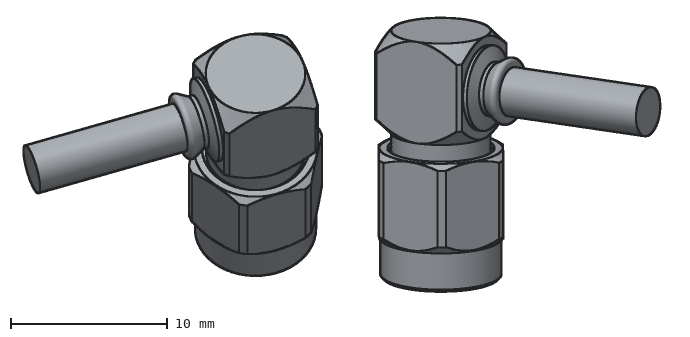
import cadquery as cq
import math


nut_bottom = 2.59
nut_top = 8.53
block_bottom = 9.57
block_top = 16.28
cable_height = (block_bottom + block_top) / 2

sleeve_radius = 3.88
sleeve_chamfer = 0.2

nut_across_flats = 7.95
nut_corner_radius = 4.43
nut_top_face_radius = 3.95
nut_top_bevel_height = 0.33
nut_recess_radius = 3.41
nut_recess_depth = 0.3

block_width = 6.35
block_corner_radius = 4.32
neck_radius = block_width / 2
block_bevel_height = block_corner_radius - neck_radius

flange_radius = 2.77
flange_rim_length = 0.27
flange_length = 0.6
waist_radius = 1.77
waist_end = 0.92
ferrule_length = 2.0
bead_radius = 0.27
bead_center_radius = 1.9

cable_radius = 1.59
total_length = 19.62
cable_length = total_length - nut_corner_radius - block_width / 2


def turned_envelope(bottom, top, bottom_radius, top_radius, radius, bottom_bevel, top_bevel):
    """Cylinder about Z with a conical bevel at each end."""
    profile = (
        cq.Workplane("XZ")
        .moveTo(0, bottom)
        .lineTo(bottom_radius, bottom)
        .lineTo(radius, bottom + bottom_bevel)
        .lineTo(radius, top - top_bevel)
        .lineTo(top_radius, top)
        .lineTo(0, top)
        .close()
    )
    return profile.revolve(360, (0, 0, 0), (0, 1, 0))


def make_sleeve():
    sleeve = cq.Workplane("XY").circle(sleeve_radius).extrude(nut_bottom)
    return sleeve.faces("<Z").chamfer(sleeve_chamfer)


def make_nut():
    """Hexagon with flats facing +X and -X, turned corners and a recess around the neck."""
    across_corners = nut_across_flats / math.cos(math.pi / 6)
    hexagon = (
        cq.Workplane("XY", origin=(0, 0, nut_bottom))
        .transformed(rotate=(0, 0, 90))
        .polygon(6, across_corners)
        .extrude(nut_top - nut_bottom)
    )
    envelope = turned_envelope(
        nut_bottom,
        nut_top,
        sleeve_radius,
        nut_top_face_radius,
        nut_corner_radius,
        nut_corner_radius - sleeve_radius,
        nut_top_bevel_height,
    )
    recess = (
        cq.Workplane("XY", origin=(0, 0, nut_top - nut_recess_depth))
        .circle(nut_recess_radius)
        .extrude(nut_recess_depth)
    )
    return hexagon.intersect(envelope).cut(recess)


def make_neck():
    """Round neck running from inside the nut up to the block."""
    neck_bottom = nut_top - nut_recess_depth
    neck = cq.Workplane("XY", origin=(0, 0, neck_bottom)).circle(neck_radius)
    return neck.extrude(block_bottom - neck_bottom)


def make_block():
    square = (
        cq.Workplane("XY", origin=(0, 0, block_bottom))
        .rect(block_width, block_width)
        .extrude(block_top - block_bottom)
    )
    envelope = turned_envelope(
        block_bottom,
        block_top,
        neck_radius,
        neck_radius,
        block_corner_radius,
        block_bevel_height,
        block_bevel_height,
    )
    return square.intersect(envelope)


def make_ferrule_and_cable():
    """Turned profile about the cable axis: flange, waist, flare with rounded bead, then cable."""
    bead_center = ferrule_length - bead_radius

    run = bead_center - waist_end
    rise = bead_center_radius - waist_radius
    flare_angle = math.atan2(rise, run) + math.asin(bead_radius / math.hypot(run, rise))

    def bead_point(angle):
        return (
            bead_center_radius + bead_radius * math.cos(angle),
            bead_center + bead_radius * math.sin(angle),
        )

    bead_end_angle = math.pi / 2
    bead_middle_angle = (bead_end_angle - flare_angle) / 2
    profile = (
        cq.Workplane("XY")
        .lineTo(flange_radius, 0)
        .lineTo(flange_radius, flange_rim_length)
        .lineTo(waist_radius, flange_length)
        .lineTo(waist_radius, waist_end)
        .lineTo(*bead_point(-flare_angle))
        .threePointArc(bead_point(bead_middle_angle), bead_point(bead_end_angle))
        .lineTo(cable_radius, ferrule_length)
        .lineTo(cable_radius, cable_length)
        .lineTo(0, cable_length)
        .close()
    )
    turned = profile.revolve(360, (0, 0, 0), (0, 1, 0))
    pointing_front = turned.rotate((0, 0, 0), (0, 0, 1), 180)
    return pointing_front.translate((0, -block_width / 2, cable_height))


result = (
    make_sleeve()
    .union(make_nut())
    .union(make_neck())
    .union(make_block())
    .union(make_ferrule_and_cable())
)